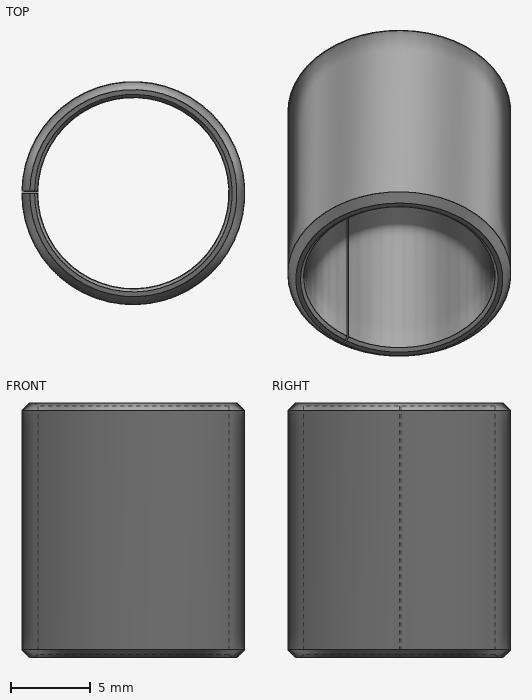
import cadquery as cq

outer_radius = 7.0
bore_radius = 6.0
length = 16.0

outer_chamfer = 0.5
bore_chamfer = 0.2

gap_angle = 1.0


def make_wall_section():
    """Wall profile on the -X side of the axis, chamfered at both ends."""
    outer_end_radius = outer_radius - outer_chamfer
    bore_end_radius = bore_radius + bore_chamfer
    points = [
        (-bore_end_radius, 0),
        (-outer_end_radius, 0),
        (-outer_radius, outer_chamfer),
        (-outer_radius, length - outer_chamfer),
        (-outer_end_radius, length),
        (-bore_end_radius, length),
        (-bore_radius, length - bore_chamfer),
        (-bore_radius, bore_chamfer),
    ]
    return cq.Workplane("XZ").polyline(points).close()


def make_bushing():
    """Wall section swept counterclockwise about +Z, stopping short to leave the gap."""
    axis_start = (0, 0)
    axis_end = (0, length)
    return make_wall_section().revolve(360 - gap_angle, axis_start, axis_end)


result = make_bushing()